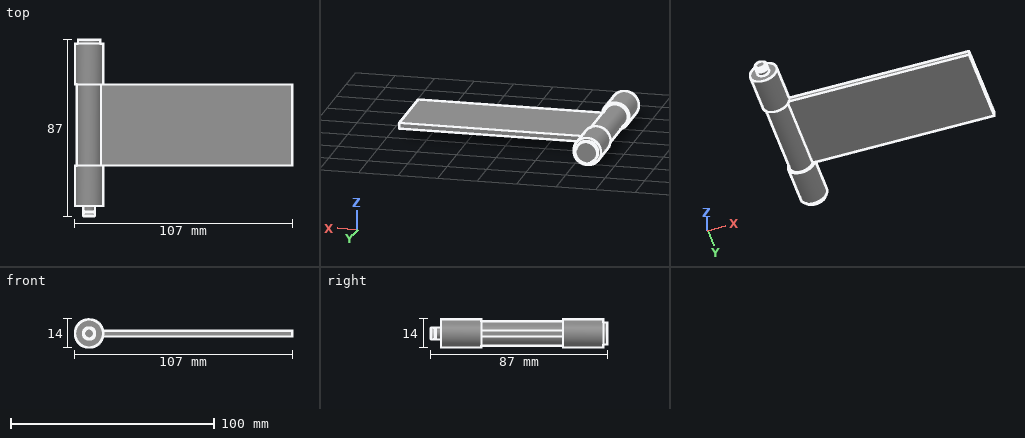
import cadquery as cq


pin_diameter = 6.0
head_diameter = 11.0
head_thickness = 2.0
tip_length = 5.0
tip_chamfer = 0.5
groove_diameter = 5.0
groove_width = 0.7
groove_offset = 2.5

barrel_diameter = 12.2
barrel_length = 40.0
plate_thickness = 3.0
plate_drop = 0.1
plate_reach = 100.0

sleeve_diameter = 14.0
sleeve_length = 20.0

stack_half_length = barrel_length / 2 + sleeve_length


def cylinder(diameter, y_start, length):
    """Solid cylinder on the hinge axis, running toward +Y from y_start."""
    plane = cq.Workplane("XZ", origin=(0, y_start, 0))
    return plane.circle(diameter / 2).extrude(-length)


def make_sleeve(y_start):
    """Plain tube around the pin."""
    bore = cylinder(pin_diameter, y_start, sleeve_length)
    return cylinder(sleeve_diameter, y_start, sleeve_length).cut(bore)


def make_leaf():
    """Flat plate joined to its barrel, with the pin bore cut through."""
    y_start = -barrel_length / 2
    plate = cq.Workplane("XY", origin=(0, 0, -plate_drop)).box(
        plate_reach, barrel_length, plate_thickness, centered=(False, True, True)
    )
    bore = cylinder(pin_diameter, y_start, barrel_length)
    return cylinder(barrel_diameter, y_start, barrel_length).union(plate).cut(bore)


def make_pin():
    """Headed pin with a retaining-ring groove and a chamfered tip."""
    tip_y = -stack_half_length - tip_length
    shank = cylinder(pin_diameter, tip_y, stack_half_length - tip_y)
    shank = shank.faces("<Y").chamfer(tip_chamfer)
    head = cylinder(head_diameter, stack_half_length, head_thickness)

    groove_y = -stack_half_length - groove_offset - groove_width
    groove_core = cylinder(groove_diameter, groove_y, groove_width)
    groove = cylinder(head_diameter, groove_y, groove_width).cut(groove_core)
    return shank.union(head).cut(groove)


leaf = make_leaf()
pin = make_pin()
sleeves = [make_sleeve(y_start) for y_start in (-stack_half_length, barrel_length / 2)]

result = cq.Compound.makeCompound([leaf.val(), pin.val(), *[sleeve.val() for sleeve in sleeves]])